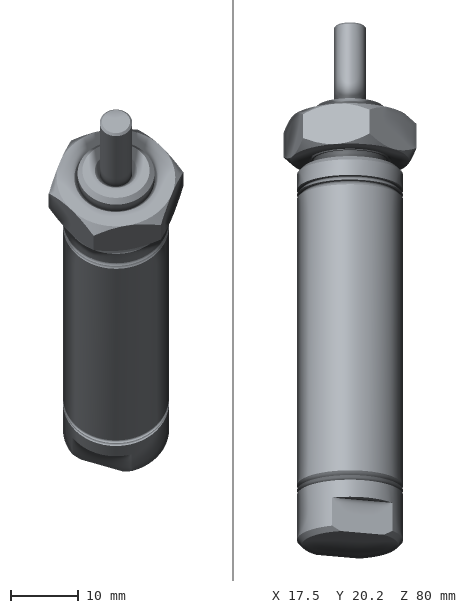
import cadquery as cq
import math


body_radius = 7.85
edge_chamfer = 0.7
shoulder_z = 57.85
neck_radius = 5.45
collar_radius = 5.7
collar_top_z = 67.45

groove_depth = 0.7
groove_count = 2
lower_groove_z = 7.7
upper_groove_z = 54.7

flats_width = 12.65
flats_height = 5.05

nut_across_flats = 17.5
nut_bottom_z = 59.3
nut_height = 6.25
nut_corner_chamfer_height = 1.3
nut_bore_chamfer = 0.5
nut_face_radius = nut_across_flats / 2
nut_corner_radius = nut_face_radius / math.cos(math.pi / 6)

rod_radius = 2.4
rod_top_z = 80.0
rod_bottom_z = shoulder_z
rod_chamfer = 0.3
rod_countersink = 0.7


def revolve_profile(points):
    """Turn a closed (radius, z) outline around the Z axis."""
    return cq.Workplane("XZ").polyline(points).close().revolve(360, (0, 0, 0), (0, 1, 0))


def groove(wall_z, direction):
    """Sawtooth ring whose flank runs out from the wall in the given Z direction."""
    root_radius = body_radius - groove_depth
    return revolve_profile([
        (root_radius, wall_z),
        (body_radius, wall_z),
        (body_radius, wall_z + direction * groove_depth),
    ])


def make_housing():
    housing = revolve_profile([
        (0, 0),
        (body_radius - edge_chamfer, 0),
        (body_radius, edge_chamfer),
        (body_radius, shoulder_z - edge_chamfer),
        (body_radius - edge_chamfer, shoulder_z),
        (neck_radius, shoulder_z),
        (neck_radius, nut_bottom_z),
        (collar_radius, nut_bottom_z),
        (collar_radius, collar_top_z - edge_chamfer),
        (collar_radius - edge_chamfer, collar_top_z),
        (0, collar_top_z),
    ])

    for index in range(groove_count):
        offset = index * groove_depth
        housing = housing.cut(groove(upper_groove_z - offset, -1))
        housing = housing.cut(groove(lower_groove_z + offset, 1))

    lower_end = cq.Workplane("XY").circle(2 * body_radius).extrude(flats_height)
    kept_slab = cq.Workplane("XY").rect(4 * body_radius, flats_width).extrude(flats_height)
    housing = housing.cut(lower_end.cut(kept_slab))

    rod_bore = revolve_profile([
        (0, rod_bottom_z),
        (rod_radius, rod_bottom_z),
        (rod_radius, collar_top_z - rod_countersink),
        (rod_radius + rod_countersink, collar_top_z),
        (0, collar_top_z),
    ])
    return housing.cut(rod_bore)


def make_nut():
    top_z = nut_bottom_z + nut_height
    hexagon = (
        cq.Workplane("XY", origin=(0, 0, nut_bottom_z))
        .transformed(rotate=(0, 0, 90))
        .polygon(6, 2 * nut_corner_radius)
        .extrude(nut_height)
    )

    ring = revolve_profile([
        (collar_radius + nut_bore_chamfer, nut_bottom_z),
        (nut_face_radius, nut_bottom_z),
        (nut_corner_radius, nut_bottom_z + nut_corner_chamfer_height),
        (nut_corner_radius, top_z - nut_corner_chamfer_height),
        (nut_face_radius, top_z),
        (collar_radius + nut_bore_chamfer, top_z),
        (collar_radius, top_z - nut_bore_chamfer),
        (collar_radius, nut_bottom_z + nut_bore_chamfer),
    ])
    return hexagon.intersect(ring)


def make_rod():
    return (
        cq.Workplane("XY", origin=(0, 0, rod_bottom_z))
        .circle(rod_radius)
        .extrude(rod_top_z - rod_bottom_z)
        .faces(">Z")
        .chamfer(rod_chamfer)
    )


housing = make_housing()
nut = make_nut()
rod = make_rod()

result = cq.Compound.makeCompound([*housing.solids().vals(), *nut.solids().vals(), *rod.solids().vals()])